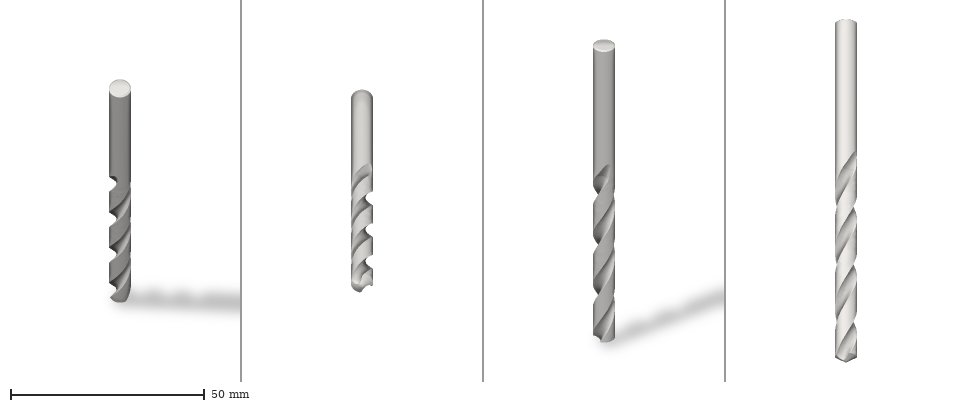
import cadquery as cq
import math

length = 93.0
radius = 2.9
shank_start = 50.1

point_angle = 118.0
point_height = radius / math.tan(math.radians(point_angle / 2))
chamfer_width = 0.5
chamfer_height = 0.3

flute_count = 2
helix_angle = 30.0
lead = 2 * math.pi * radius / math.tan(math.radians(helix_angle))
flute_end = 52.5
flute_end_azimuth = -90.0
runout_length = 4.8
runout_twist = 38.0
runout_rise = 1.95

floor_point = (0.9, 0.0)
inner_edge = (1.7, 1.2)
mouth_half_width = 1.9
mouth_depth = math.sqrt(radius**2 - mouth_half_width**2)
lip_bulge = (2.0, 1.5)

outside = 2 * radius
relief_margin = 0.9


def turned(point, azimuth):
    """A point of the XY plane turned about Z."""
    x, y = point
    angle = math.radians(azimuth)
    return (x * math.cos(angle) - y * math.sin(angle), x * math.sin(angle) + y * math.cos(angle))


def flute_section(height, azimuth, rise=0.0):
    """Closed section of one flute at a height, turned about Z and moved outwards by rise."""
    plane = cq.Plane(origin=(0, 0, height)).rotated((0, 0, azimuth))
    return (
        cq.Workplane(plane)
        .center(rise, 0)
        .moveTo(outside, -mouth_half_width)
        .lineTo(mouth_depth, -mouth_half_width)
        .threePointArc(floor_point, inner_edge)
        .threePointArc(lip_bulge, (mouth_depth, mouth_half_width))
        .lineTo(outside, mouth_half_width)
        .close()
    )


def flute_runout(end_azimuth):
    """Cutter that rises from full depth to the surface of the shank."""
    deep = flute_section(flute_end, end_azimuth).wires().val()
    shallow_azimuth = end_azimuth + runout_twist
    shallow = flute_section(flute_end + runout_length, shallow_azimuth, runout_rise).wires().val()
    return cq.Workplane(cq.Solid.makeLoft([deep, shallow], True))


def fluted_length(bottom, top):
    """Twisted bar between two heights, with every flute at full depth."""
    twist = 360 * (top - bottom) / lead
    step = 360 / flute_count
    first_azimuth = flute_end_azimuth - 360 * (flute_end - bottom) / lead
    azimuths = [first_azimuth + index * step for index in range(flute_count)]
    start = turned((mouth_depth, -mouth_half_width), first_azimuth)
    section = cq.Workplane("XY", origin=(0, 0, bottom)).moveTo(*start)
    for azimuth in azimuths:
        land_middle = turned((radius, 0), azimuth + step / 2)
        next_mouth = turned((mouth_depth, -mouth_half_width), azimuth + step)
        section = (
            section.threePointArc(turned(floor_point, azimuth), turned(inner_edge, azimuth))
            .threePointArc(turned(lip_bulge, azimuth), turned((mouth_depth, mouth_half_width), azimuth))
            .threePointArc(land_middle, next_mouth)
        )
    return section.close().twistExtrude(top - bottom, twist)


def point_relief():
    """Ring that leaves a cone on the lower end when it is cut away."""
    return (
        cq.Workplane("XZ")
        .lineTo(outside, outside * point_height / radius)
        .lineTo(outside, -relief_margin)
        .lineTo(0, -relief_margin)
        .close()
        .revolve(360, (0, 0, 0), (0, 1, 0))
    )


def make_shank():
    shank = (
        cq.Workplane("XZ")
        .moveTo(0, flute_end)
        .lineTo(radius, flute_end)
        .lineTo(radius, length - chamfer_height)
        .lineTo(radius - chamfer_width, length)
        .lineTo(0, length)
        .close()
        .revolve(360, (0, 0, 0), (0, 1, 0))
    )
    for index in range(flute_count):
        shank = shank.cut(flute_runout(flute_end_azimuth + index * 360 / flute_count))
    return shank.union(fluted_length(shank_start, flute_end))


def make_cutting_end():
    return fluted_length(0, shank_start).cut(point_relief())


shank = make_shank()
cutting_end = make_cutting_end()

result = cq.Compound.makeCompound([shank.val(), cutting_end.val()])